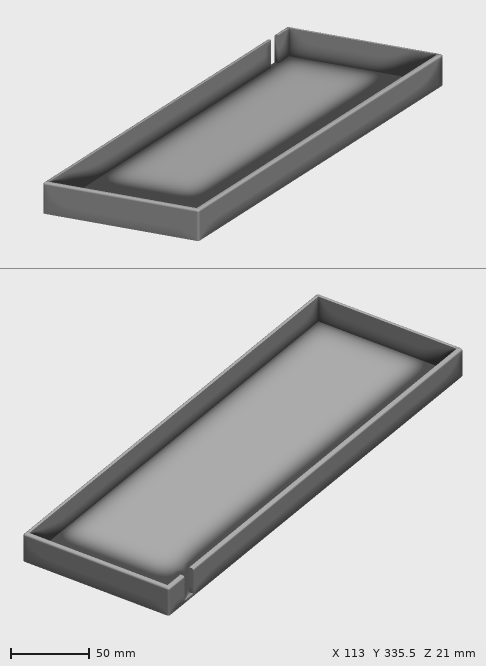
import cadquery as cq

WIDTH = 113.0
LENGTH = 335.5
HEIGHT = 21.0

WALL = 3.0
FLOOR = 2.0
EDGE_RADIUS = 1.5
RIM_HEIGHT = 7.0
TRAY_HEIGHT = HEIGHT - RIM_HEIGHT

NOTCH_WIDTH = 10.0
NOTCH_END_OFFSET = 17.8
NOTCH_Y = LENGTH / 2 - NOTCH_END_OFFSET - NOTCH_WIDTH / 2


def outer_block(bottom, height):
    """Block over the full footprint, with its four upright edges rounded."""
    block = cq.Workplane("XY", origin=(0, 0, bottom)).rect(WIDTH, LENGTH).extrude(height)
    return block.edges("|Z").fillet(EDGE_RADIUS)


def cavity():
    """Sharp-cornered space inside the walls, from the floor to the top."""
    plane = cq.Workplane("XY", origin=(0, 0, FLOOR))
    return plane.rect(WIDTH - 2 * WALL, LENGTH - 2 * WALL).extrude(HEIGHT - FLOOR)


def notch():
    """Slot through the -X wall, level with the floor."""
    plane = cq.Workplane("XY", origin=(-WIDTH / 2 + WALL / 2, NOTCH_Y, FLOOR))
    return plane.rect(WALL, NOTCH_WIDTH).extrude(HEIGHT - FLOOR)


def make_tray():
    """Floor with the lower part of the walls."""
    return outer_block(0, TRAY_HEIGHT).cut(cavity()).cut(notch())


def make_rim():
    """Upper part of the walls, resting on the tray, with a rounded outer top edge."""
    block = outer_block(TRAY_HEIGHT, RIM_HEIGHT).faces(">Z").edges().fillet(EDGE_RADIUS)
    return block.cut(cavity()).cut(notch())


tray = make_tray()
rim = make_rim()

result = cq.Compound.makeCompound([tray.val(), rim.val()])